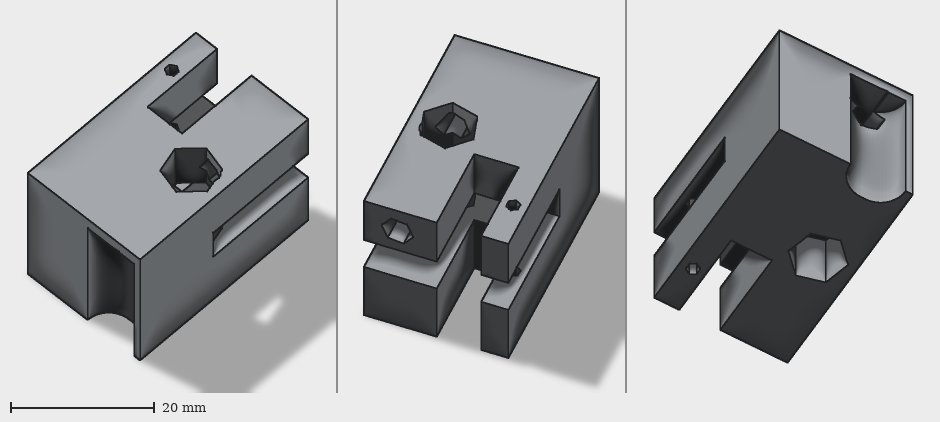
import cadquery as cq

width = 21.72
length = 33.83
height = 23.55

thin_leg_width = 4.1
leg_gap = 6.65
leg_gap_depth = 13.97

split_bottom = 9.95
split_height = 5.55
split_depth = 19.08

pocket_center_x = 16.07
pocket_width = 9.0
pocket_flat = 0.8
pocket_roof = 2.13
pocket_radius = (pocket_width - pocket_flat) / 2

main_hex_radius = 4.33
main_hex_y = 16.17
main_hex_turn = 45
cross_hex_radius = 2.4
cross_hex_x = 16.68
cross_hex_z = 19.4
cross_hex_turn = 7
pin_hex_radius = 1
pin_hex_x = 2.1
pin_hex_y = 26.8
pin_hex_turn = 30

relief_radius = 1.4
relief_x = 18.4
relief_y = 17.65
relief_depth = 2.47


def corner_box(x_size, y_size, z_size, corner):
    return cq.Workplane("XY").box(x_size, y_size, z_size, centered=False).translate(corner)


def hex_prism(corner_radius, depth, turn):
    """Hexagonal prism along +Z whose first corner is turned away from +X."""
    prism = cq.Workplane("XY").polygon(6, 2 * corner_radius).extrude(depth)
    return prism.rotate((0, 0, 0), (0, 0, 1), turn)


def rounded_pocket():
    """Two quarter circles joined by a narrow flat at the deepest part."""
    return (
        cq.Workplane("XY")
        .rect(pocket_width, 2 * pocket_radius)
        .extrude(height - pocket_roof)
        .edges("|Z and >Y")
        .fillet(pocket_radius)
        .translate((pocket_center_x, 0, 0))
    )


block = corner_box(width, length, height, (0, 0, 0))

leg_slot = corner_box(leg_gap, leg_gap_depth, height, (thin_leg_width, length - leg_gap_depth, 0))
split_slot = corner_box(width, split_depth, split_height, (0, length - split_depth, split_bottom))

main_hex = hex_prism(main_hex_radius, height, main_hex_turn).translate((pocket_center_x, main_hex_y, 0))
pin_hex = hex_prism(pin_hex_radius, height, pin_hex_turn).translate((pin_hex_x, pin_hex_y, 0))

cross_hex = (
    hex_prism(cross_hex_radius, length, -cross_hex_turn)
    .rotate((0, 0, 0), (1, 0, 0), -90)
    .translate((cross_hex_x, 0, cross_hex_z))
)

relief = (
    cq.Workplane("XY")
    .circle(relief_radius)
    .extrude(relief_depth)
    .translate((relief_x, relief_y, height - relief_depth))
)

result = block
for cutter in (leg_slot, split_slot, rounded_pocket(), main_hex, pin_hex, cross_hex, relief):
    result = result.cut(cutter)